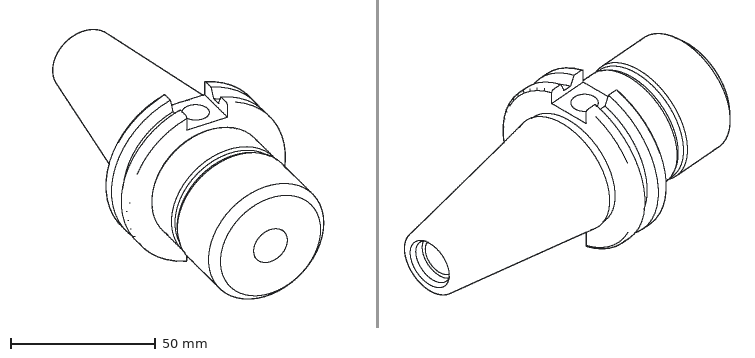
import cadquery as cq

total_length = 131.8
taper_end = 67.9
relief_start = 69.5
flange_start = 71.1
flange_end = 87.2
collar_start = 88.1
collar_end = 103.3
nut_start = 105.5

taper_large_diameter = 44.5
taper_ratio = 7 / 24
shank_tip_radius = 0.9
relief_diameter = 43.6

flange_diameter = 63.2
flange_edge_radius = 0.9
groove_diameter = 56.0
groove_floor_width = 3.3
groove_mouth_width = 6.9

slot_width = 16.2
upper_slot_height = 24.8
lower_slot_height = 22.4
dimple_diameter = 9.5
dimple_depth = 2.8

collar_diameter = 45.2
collar_chamfer = 1.3
collar_edge_drop = 0.7
neck_diameter = 35.0

nut_diameter = 46.0
nut_rear_chamfer = 1.3
nut_rear_drop = 0.7
nut_front_chamfer = 3.0

bore_diameter = 13.5
counterbore_diameter = 16.3
counterbore_depth = 5.0
mouth_diameter = 18.5
mouth_depth = 1.7

flange_middle = (flange_start + flange_end) / 2
flange_width = flange_end - flange_start


def revolve_about_x(points):
    """Revolve a closed outline of (axial position, radius) points."""
    return cq.Workplane("XY").polyline(points).close().revolve(360, (0, 0, 0), (1, 0, 0))


def cylinder_along_x(start, end, diameter):
    return cq.Workplane("YZ", origin=(start, 0, 0)).circle(diameter / 2).extrude(end - start)


def make_shank():
    tip_diameter = taper_large_diameter - taper_ratio * taper_end
    shank = revolve_about_x([
        (0, 0),
        (0, tip_diameter / 2),
        (taper_end, taper_large_diameter / 2),
        (relief_start, relief_diameter / 2),
        (flange_start, relief_diameter / 2),
        (flange_start, 0),
    ])
    return shank.faces("<X").edges().fillet(shank_tip_radius)


def make_groove_cutter():
    floor = groove_floor_width / 2
    mouth = groove_mouth_width / 2
    return revolve_about_x([
        (flange_middle - floor, groove_diameter / 2),
        (flange_middle - mouth, flange_diameter / 2),
        (flange_middle - mouth, flange_diameter),
        (flange_middle + mouth, flange_diameter),
        (flange_middle + mouth, flange_diameter / 2),
        (flange_middle + floor, groove_diameter / 2),
    ])


def make_slot_cutter(floor_height, side):
    """Slot across the flange; side is +1 for the top and -1 for the bottom."""
    slot_depth = flange_diameter / 2 - floor_height
    slot_center = side * (floor_height + slot_depth / 2)
    return (
        cq.Workplane("XY")
        .box(flange_width, slot_width, slot_depth)
        .translate((flange_middle, 0, slot_center))
    )


def make_dimple_cutter():
    cone = cq.Solid.makeCone(
        dimple_diameter / 2, 0, dimple_depth,
        pnt=cq.Vector(flange_middle, 0, upper_slot_height),
        dir=cq.Vector(0, 0, -1),
    )
    return cq.Workplane("XY").add(cone)


def make_flange():
    flange = cylinder_along_x(flange_start, flange_end, flange_diameter)
    flange = flange.faces("<X or >X").edges().fillet(flange_edge_radius)
    flange = flange.cut(make_groove_cutter())
    flange = flange.cut(make_slot_cutter(upper_slot_height, 1))
    flange = flange.cut(make_slot_cutter(lower_slot_height, -1))
    return flange.cut(make_dimple_cutter())


def make_collar_and_neck():
    collar_radius = collar_diameter / 2
    return revolve_about_x([
        (flange_end, 0),
        (flange_end, collar_radius - collar_edge_drop),
        (collar_start, collar_radius),
        (collar_end - collar_chamfer, collar_radius),
        (collar_end, collar_radius - collar_edge_drop),
        (collar_end, neck_diameter / 2),
        (nut_start, neck_diameter / 2),
        (nut_start, 0),
    ])


def make_shank_bore_cutter():
    return revolve_about_x([
        (0, 0),
        (0, mouth_diameter / 2),
        (mouth_depth, counterbore_diameter / 2),
        (counterbore_depth, counterbore_diameter / 2),
        (counterbore_depth, bore_diameter / 2),
        (nut_start, bore_diameter / 2),
        (nut_start, 0),
    ])


def make_holder():
    holder = make_shank().union(make_flange()).union(make_collar_and_neck())
    return holder.cut(make_shank_bore_cutter())


def make_nut():
    nut_radius = nut_diameter / 2
    bore_radius = bore_diameter / 2
    return revolve_about_x([
        (nut_start, bore_radius),
        (nut_start, nut_radius - nut_rear_drop),
        (nut_start + nut_rear_chamfer, nut_radius),
        (total_length - nut_front_chamfer, nut_radius),
        (total_length, nut_radius - nut_front_chamfer),
        (total_length, bore_radius),
    ])


holder = make_holder()
nut = make_nut()

result = cq.Compound.makeCompound([holder.val(), nut.val()])